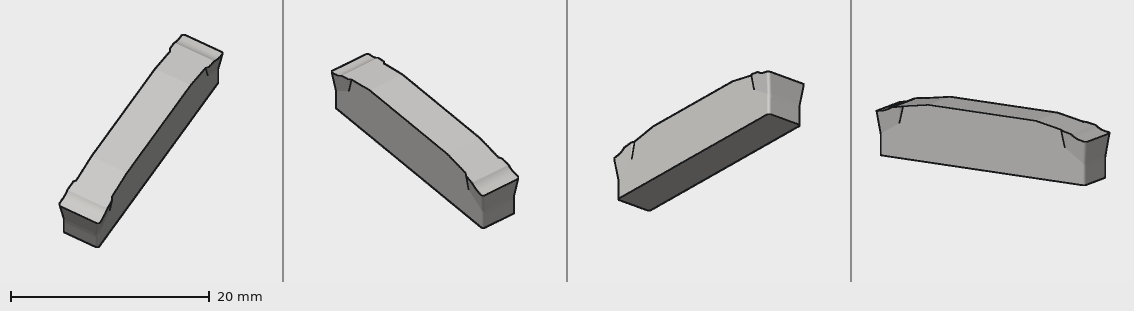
import cadquery as cq
import math


length = 25.0
height = 5.97
cutting_width = 4.76
shank_width = 4.15
corner_radius = 0.3

edge_height = 4.59
relief_angle = math.radians(7)
relief_depth = 0.32
blend_radius = 4.5

flat_length = 12.76
shoulder_angle = math.radians(10)
land_length = 0.76
land_angle = math.radians(10.5)
ridge_inset = 1.77
ridge_radius = 0.2

flank_angle = math.radians(7)
flank_back_slope = 0.076

runout_top_inset = 3.11
runout_top_height = 5.4
runout_bottom_inset = 2.64
runout_bottom_height = 3.5
runout_angle = math.radians(36)
runout_radius = 0.2

half_length = length / 2
half_flat = flat_length / 2
half_shank = shank_width / 2
head_length = half_length - half_flat
clearance_height = 2 * height
overrun = 1.0
trim_size = 2 * length
corner_narrowing = corner_radius * (flank_back_slope - math.tan(land_angle) * math.tan(flank_angle))
edge_half_width = cutting_width / 2 + corner_narrowing


def shoulder_height(inset):
    """Height of the sloping shoulder at a distance in from the end."""
    return height - (half_length - half_flat - inset) * math.tan(shoulder_angle)


def trim(solid, point, outward):
    """Remove everything beyond the plane through point, on its outward side."""
    plane = cq.Plane(origin=point, normal=outward)
    return solid.cut(cq.Workplane(plane).rect(trim_size, trim_size).extrude(trim_size))


def make_chip_groove():
    """Space above the land and chip groove at the -Y end, with the crest rounded."""
    land_end_z = edge_height + land_length * math.tan(land_angle)
    ridge_z = shoulder_height(ridge_inset)
    space = (
        cq.Workplane("YZ")
        .moveTo(-half_length - overrun, edge_height - overrun * math.tan(land_angle))
        .lineTo(-half_length + land_length, land_end_z)
        .tangentArcPoint((-half_length + ridge_inset, ridge_z), relative=False)
        .lineTo(-half_flat, height)
        .lineTo(-half_flat, clearance_height)
        .lineTo(-half_length - overrun, clearance_height)
        .close()
        .extrude(cutting_width, both=True)
    )
    crest = cq.selectors.NearestToPointSelector((0, -half_length + ridge_inset, ridge_z))
    return space.edges("|X").edges(crest).fillet(ridge_radius)


def make_shank():
    """Straight bar with rounded vertical corners."""
    return (
        cq.Workplane("XY")
        .rect(shank_width, length - 2 * relief_depth)
        .extrude(height)
        .edges("|Z")
        .fillet(corner_radius)
    )


def make_head():
    """Flared head at the -Y end, before the top is shaped."""
    shank_end_y = -half_length + relief_depth
    relief_foot_z = edge_height - relief_depth / math.tan(relief_angle)
    blend_reach = blend_radius * math.tan(relief_angle / 2)
    blend_bottom_z = relief_foot_z - blend_reach
    blend_top_y = shank_end_y - blend_reach * math.sin(relief_angle)
    blend_top_z = relief_foot_z + blend_reach * math.cos(relief_angle)
    rise = height - edge_height
    rear_y = -half_length + head_length

    head = (
        cq.Workplane("YZ")
        .moveTo(-half_length - rise * math.tan(relief_angle), height)
        .lineTo(blend_top_y, blend_top_z)
        .tangentArcPoint((shank_end_y, blend_bottom_z), relative=False)
        .lineTo(rear_y, blend_bottom_z)
        .lineTo(rear_y, height)
        .close()
        .extrude(cutting_width, both=True)
    )
    for side in (-1, 1):
        flank_point = (side * edge_half_width, -half_length, edge_height)
        head = trim(head, flank_point, (side, flank_back_slope, -math.tan(flank_angle)))

    front_corners = cq.selectors.BoxSelector(
        (-cutting_width, -half_length - relief_depth, blend_bottom_z),
        (cutting_width, shank_end_y, height),
    )
    head = head.edges(front_corners).edges("not |X").fillet(corner_radius)

    runout_lean = (runout_top_inset - runout_bottom_inset) / (runout_top_height - runout_bottom_height)
    for side in (-1, 1):
        runout_point = (side * half_shank, -half_length + runout_bottom_inset, runout_bottom_height)
        head = trim(head, runout_point, (side / math.tan(runout_angle), 1, -runout_lean))
        runout_edge = cq.selectors.NearestToPointSelector(runout_point)
        head = head.edges(runout_edge).fillet(runout_radius)
    return head


head = make_head()
chip_groove = make_chip_groove()
result = make_shank().union(head).union(head.mirror("XZ"))
result = result.cut(chip_groove).cut(chip_groove.mirror("XZ"))